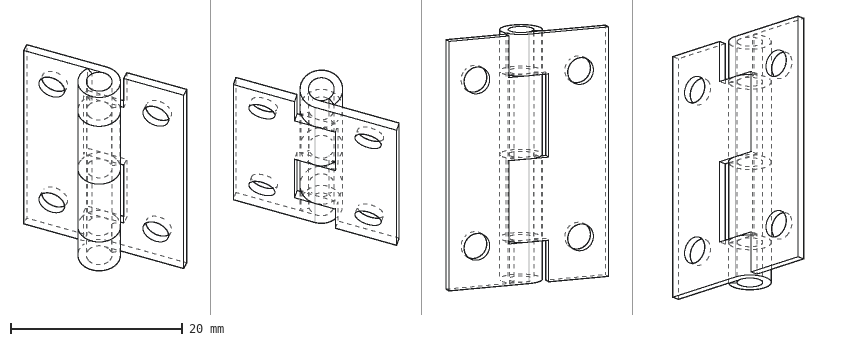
import cadquery as cq
import math


hinge_width = 20.0
hinge_height = 30.0
sheet_thickness = 1.0
barrel_radius = 2.5
hole_diameter = 3.2
hole_offset = 6.5
hole_end_margin = 5.0
end_knuckle_height = 5.0
curl_clearance = 0.02

pin_radius = barrel_radius - sheet_thickness
leaf_reach = hinge_width / 2
leaf_back_y = barrel_radius
leaf_front_y = barrel_radius - sheet_thickness
hole_heights = (hole_end_margin, hinge_height - hole_end_margin)
inner_knuckle_height = (hinge_height - 2 * end_knuckle_height) / 2

lower_inner_bottom = end_knuckle_height
upper_inner_bottom = lower_inner_bottom + inner_knuckle_height
top_end_bottom = hinge_height - end_knuckle_height
left_knuckles = (
    (lower_inner_bottom, inner_knuckle_height),
    (top_end_bottom, end_knuckle_height),
)
right_knuckles = (
    (0, end_knuckle_height),
    (upper_inner_bottom, inner_knuckle_height),
)

curl_end_angle = math.pi - math.asin((leaf_front_y - curl_clearance) / barrel_radius)


def polar_point(radius, angle):
    return (radius * math.cos(angle), radius * math.sin(angle))


def make_plate():
    """Flat part of the left leaf, stopping level with the side of the barrel."""
    return cq.Workplane("XY").box(
        leaf_reach - barrel_radius, sheet_thickness, hinge_height, centered=False
    ).translate((-leaf_reach, leaf_front_y, 0))


def make_knuckle(bottom, height):
    """Tongue of the left leaf's sheet, rolled around the pin."""
    return (
        cq.Workplane("XY", origin=(0, 0, bottom))
        .moveTo(-barrel_radius, leaf_back_y)
        .lineTo(0, barrel_radius)
        .threePointArc((barrel_radius, 0), (0, -barrel_radius))
        .threePointArc((-barrel_radius, 0), polar_point(barrel_radius, curl_end_angle))
        .lineTo(*polar_point(pin_radius, curl_end_angle))
        .threePointArc((-pin_radius, 0), (0, -pin_radius))
        .threePointArc((pin_radius, 0), (0, pin_radius))
        .lineTo(-barrel_radius, leaf_front_y)
        .close()
        .extrude(height)
    )


def make_screw_holes():
    """Cutters for the screw holes of the left leaf."""
    return (
        cq.Workplane("XZ", origin=(0, leaf_back_y, 0))
        .pushPoints([(-hole_offset, height) for height in hole_heights])
        .circle(hole_diameter / 2)
        .extrude(sheet_thickness)
    )


def make_leaf(knuckles):
    """Leaf on the -X side of the pin, with a knuckle at each given span."""
    leaf = make_plate()
    for bottom, height in knuckles:
        leaf = leaf.union(make_knuckle(bottom, height))
    return leaf.cut(make_screw_holes()).solids()


def make_pin():
    """Plain pin, flush with both ends of the barrel."""
    return cq.Workplane("XY").circle(pin_radius).extrude(hinge_height)


left_leaf = make_leaf(left_knuckles)
right_leaf = make_leaf(right_knuckles).mirror("YZ")
pin = make_pin()

result = cq.Compound.makeCompound([left_leaf.val(), right_leaf.val(), pin.val()])